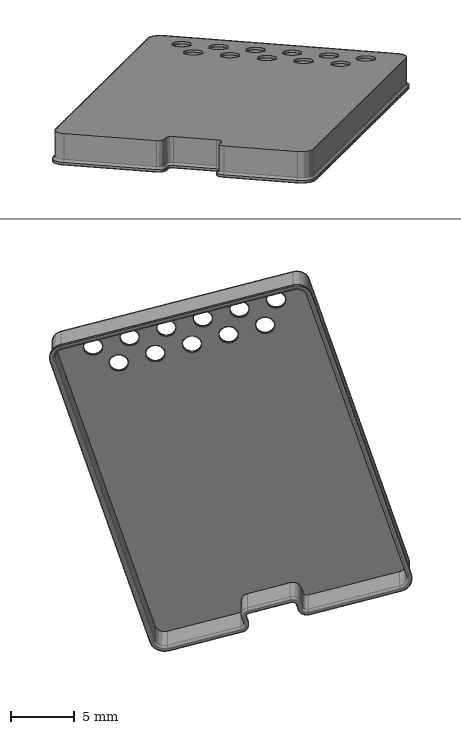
import cadquery as cq

length_x = 21.4
length_y = 29.4
height = 2.5

sheet = 0.2
flange_width = 0.2

bend_radius = 0.195

wall_x = length_x - 2 * flange_width
wall_y = length_y - 2 * flange_width
corner_radius = 1.0

notch_left = -1.5
notch_right = 3.0
notch_depth = 1.5
notch_radius = 0.5

hole_diameter = 1.5
hole_pitch = 3.0
row_spacing = 2.0
back_row_inset = 2.0
back_row_count = 6


def notched_block(offset, top):
    """Block from z = 0 to top whose sides lie `offset` outside the wall face (inside if negative)."""
    block = cq.Workplane("XY").box(
        wall_x + 2 * offset, wall_y + 2 * offset, top, centered=(True, True, False)
    )

    notch = (
        cq.Workplane("XY")
        .center((notch_left + notch_right) / 2, -wall_y / 2)
        .rect(notch_right - notch_left - 2 * offset, 2 * (notch_depth - offset))
        .extrude(top)
        .edges("|Z")
        .fillet(notch_radius - offset)
    )
    block = block.cut(notch)

    notch_mouth = block.faces("<Y").edges("|Z exc (<X or >X)")
    block = notch_mouth.fillet(notch_radius + offset)
    outer_corners = block.edges("|Z and (<X or >X)")
    return outer_corners.fillet(corner_radius + offset)


def hole_row(count, y):
    """Cutters for one row of vent holes centred on x = 0."""
    return (
        cq.Workplane("XY")
        .center(0, y)
        .rarray(hole_pitch, 0.3, count, 1)
        .circle(hole_diameter / 2)
        .extrude(height)
    )


flange = notched_block(flange_width, sheet)
outer = notched_block(0, height).union(flange)
flange_top = outer.faces("+Z").faces("<Z").val()
bend_edges = flange_top.innerWires()[0].Edges()
outer = outer.newObject(bend_edges).fillet(bend_radius)

shell = outer.cut(notched_block(-sheet, height - sheet))
rim_edges = shell.faces("<Z").val().innerWires()[0].Edges()
shell = shell.newObject(rim_edges).fillet(bend_radius)

back_row_y = wall_y / 2 - back_row_inset
result = shell.cut(hole_row(back_row_count, back_row_y))
result = result.cut(hole_row(back_row_count - 1, back_row_y - row_spacing))